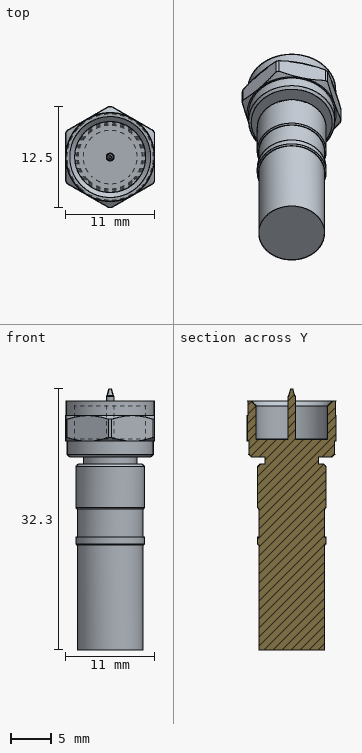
import cadquery as cq

total_height = 32.3
ring_bottom = 13.0
ring_top = 14.0
body_bottom = 17.47
body_top = 23.03
nut_bottom = 23.87
hex_bottom = 25.85
hex_top = 29.0
nut_top = 30.8
pin_shoulder = 31.4

sleeve_radius = 4.07
body_radius = 4.25
neck_radius = 3.33
lower_collar_radius = 5.33
upper_collar_radius = 5.45

small_chamfer = 0.15
large_chamfer = 0.32

hex_flats = 11.0
hex_corner_radius = 6.25
hex_bevel_height = 0.45

bore_radius = 4.4
bore_depth = 4.7
bore_lead_in = 0.6

pin_radius = 0.5
pin_cone_radius = 0.4
pin_tip_radius = 0.15
pin_edge_height = 0.1


def cylinder(radius, bottom, top):
    """Cylinder on the connector axis between two heights."""
    return cq.Workplane("XY").workplane(offset=bottom).circle(radius).extrude(top - bottom)


def revolve_profile(points):
    """Solid of revolution about Z from (radius, height) points."""
    return cq.Workplane("XZ").polyline(points).close().revolve(360, (0, 0, 0), (0, 1, 0))


def make_crimp_body():
    """Sleeve with its raised ring, the wider body and the neck under the nut."""
    sleeve = cylinder(sleeve_radius, 0, body_bottom)
    ring = cylinder(body_radius, ring_bottom, ring_top).faces("<Z").chamfer(small_chamfer)
    body = cylinder(body_radius, body_bottom, body_top)
    body = body.faces("<Z").chamfer(small_chamfer).faces(">Z").chamfer(large_chamfer)
    neck = cylinder(neck_radius, body_top, nut_bottom)
    return sleeve.union(ring).union(body).union(neck)


def make_hex_grip():
    """Hexagon with flats facing X, its corners rounded and beveled at both ends."""
    hexagon = (
        cq.Workplane("XY")
        .workplane(offset=hex_bottom)
        .polygon(6, hex_flats, circumscribed=True)
        .extrude(hex_top - hex_bottom)
    )
    bevel_envelope = revolve_profile([
        (0, hex_bottom),
        (hex_flats / 2, hex_bottom),
        (hex_corner_radius, hex_bottom + hex_bevel_height),
        (hex_corner_radius, hex_top - hex_bevel_height),
        (hex_flats / 2, hex_top),
        (0, hex_top),
    ])
    return hexagon.intersect(bevel_envelope)


def make_nut():
    """Hexagonal grip between two round collars, with a blind socket from the top."""
    lower_collar = cylinder(lower_collar_radius, nut_bottom, hex_bottom)
    lower_collar = lower_collar.faces("<Z").chamfer(large_chamfer)
    upper_collar = cylinder(upper_collar_radius, hex_top, nut_top)
    nut = lower_collar.union(make_hex_grip()).union(upper_collar)
    socket = revolve_profile([
        (0, nut_top - bore_depth),
        (bore_radius, nut_top - bore_depth),
        (bore_radius, nut_top - bore_lead_in),
        (bore_radius + bore_lead_in, nut_top),
        (0, nut_top),
    ])
    return nut.cut(socket)


def make_pin():
    """Center conductor standing on the socket floor, ending in a blunt cone."""
    return revolve_profile([
        (0, nut_top - bore_depth),
        (pin_radius, nut_top - bore_depth),
        (pin_radius, pin_shoulder),
        (pin_cone_radius, pin_shoulder + pin_edge_height),
        (pin_tip_radius, total_height),
        (0, total_height),
    ])


result = make_crimp_body().union(make_nut()).union(make_pin())